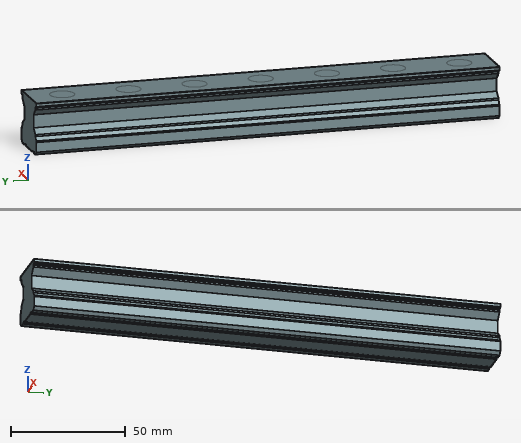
import cadquery as cq

length = 210.0
width = 23.0
height = 23.5

top_z = height / 2
bottom_z = -top_z
half_width = width / 2

head_chamfer = 0.2
head_underside_chamfer = 0.5
head_underside_z = 9.9
head_ledge_half_width = 10.3
step_half_width = 10.0
head_step_top_z = 9.2
head_step_bottom_z = 8.5

web_half_width = 7.1
web_top_z = 5.5
web_bottom_z = -0.5

base_step_top_z = -2.7
base_step_bottom_z = -3.5
shoulder_end_half_width = 11.3
shoulder_end_z = -5.2
base_side_top_z = -5.9
bottom_chamfer = 1.5

groove_outer_x = 7.1
groove_inner_x = 5.0
groove_depth = 0.5

plug_count = 7
plug_diameter = 11.0
plug_pitch = length / plug_count
plug_depth = 2.0


def half_section():
    """Right half of the section, from the top centre round to the bottom centre."""
    return [
        (0, top_z),
        (half_width - head_chamfer, top_z),
        (half_width, top_z - head_chamfer),
        (half_width, head_underside_z + head_underside_chamfer),
        (half_width - head_underside_chamfer, head_underside_z),
        (head_ledge_half_width, head_underside_z),
        (step_half_width, head_step_top_z),
        (step_half_width, head_step_bottom_z),
        (web_half_width, web_top_z),
        (web_half_width, web_bottom_z),
        (step_half_width, base_step_top_z),
        (step_half_width, base_step_bottom_z),
        (shoulder_end_half_width, shoulder_end_z),
        (half_width, base_side_top_z),
        (half_width, bottom_z + bottom_chamfer),
        (half_width - bottom_chamfer, bottom_z),
        (groove_outer_x, bottom_z),
        (groove_outer_x, bottom_z + groove_depth),
        (groove_inner_x, bottom_z + groove_depth),
        (groove_inner_x, bottom_z),
        (0, bottom_z),
    ]


def rail_body():
    """The section, mirrored about its centre line and run along Y."""
    section = cq.Workplane("XZ").polyline(half_section()).mirrorY()
    return section.extrude(length / 2, both=True)


def plugs():
    """Row of round plugs along the rail, level with the top face."""
    row = cq.Workplane("XY", origin=(0, 0, top_z)).rarray(2, plug_pitch, 1, plug_count)
    return row.circle(plug_diameter / 2).extrude(-plug_depth)


result = rail_body().cut(plugs()).union(plugs(), clean=False)